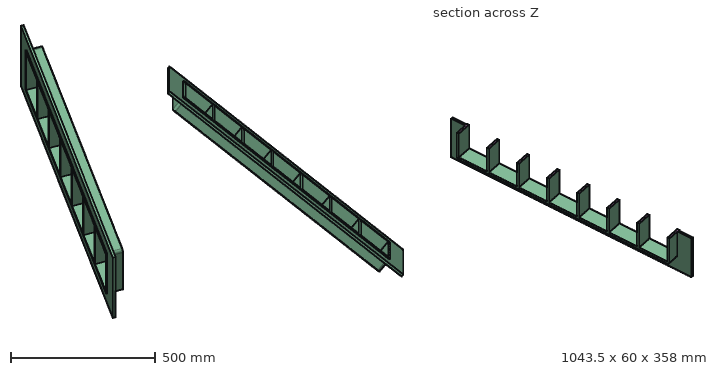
import cadquery as cq

flange_length = 1043.5
flange_height = 358.0
flange_thickness = 10.0
flange_margin = 60.0

frame_depth = 60.0
frame_lip = 3.0
frame_corner_radius = 10.0
frame_length = flange_length - 2 * flange_margin
frame_height = flange_height - 2 * flange_margin

window_count = 7
wall_thickness = 10.0
divider_thickness = 10.0
window_row_length = frame_length - 2 * wall_thickness
window_pitch = (window_row_length + divider_thickness) / window_count
window_length = window_pitch - divider_thickness
window_height = frame_height - 2 * wall_thickness


def upright_block(length, depth, height, front_y):
    """Block centred on X and Z whose front face lies at front_y."""
    return cq.Workplane("XY").box(length, depth, height).translate((0, front_y + depth / 2, 0))


def make_flange():
    return upright_block(flange_length, flange_thickness, flange_height, frame_lip)


def make_frame():
    """Solid frame block with rounded corners; its front face is at Y = 0."""
    block = upright_block(frame_length, frame_depth, frame_height, 0)
    return block.edges("|Y").fillet(frame_corner_radius)


def cut_windows(body):
    """Cut the row of sharp-cornered windows through the full frame depth."""
    first_window_x = -window_pitch * (window_count - 1) / 2
    for index in range(window_count):
        window = upright_block(window_length, frame_depth, window_height, 0)
        body = body.cut(window.translate((first_window_x + index * window_pitch, 0, 0)))
    return body


result = cut_windows(make_flange().union(make_frame()))